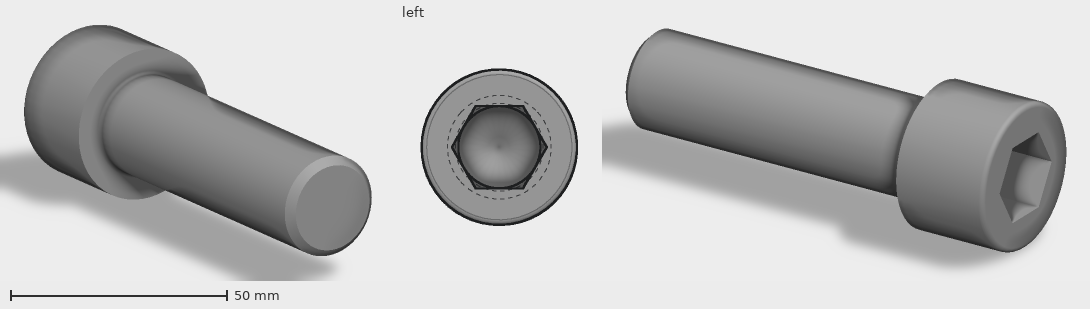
import cadquery as cq
import math

thread_diameter = 24.0
shank_length = 80.0
head_height = thread_diameter
head_diameter = 1.5 * thread_diameter
head_edge_radius = 1.2
neck_radius = 0.8
tip_chamfer = 1.84

hex_across_flats = 19.0
hex_depth = 12.0
cone_tip_angle = 120.0

head_face_x = -head_height


def make_cylinder(start_x, diameter, length):
    return cq.Workplane("YZ", origin=(start_x, 0, 0)).circle(diameter / 2).extrude(length)


def make_head():
    head = make_cylinder(head_face_x, head_diameter, head_height)
    return head.faces("<X").edges().fillet(head_edge_radius)


def make_shank():
    shank = make_cylinder(0, thread_diameter, shank_length)
    return shank.faces(">X").edges().chamfer(tip_chamfer)


def make_neck_fillet():
    """Ring with a concave quarter-round profile around the shank at the bearing face."""
    shank_radius = thread_diameter / 2
    outer_radius = shank_radius + neck_radius
    arc_offset = neck_radius * (1 - math.sqrt(0.5))
    profile = (
        cq.Workplane("XY")
        .lineTo(0, outer_radius)
        .threePointArc((arc_offset, shank_radius + arc_offset), (neck_radius, shank_radius))
        .lineTo(neck_radius, 0)
        .close()
    )
    return profile.revolve(360, (0, 0, 0), (1, 0, 0))


def make_socket():
    """Hexagonal socket, corners on the Y axis, with a conical bottom."""
    across_corners = hex_across_flats / math.cos(math.radians(30))
    hexagon = (
        cq.Workplane("YZ", origin=(head_face_x, 0, 0))
        .polygon(6, across_corners)
        .extrude(hex_depth)
    )
    cone_radius = hex_across_flats / 2
    cone_depth = cone_radius / math.tan(math.radians(cone_tip_angle / 2))
    cone = cq.Solid.makeCone(
        cone_radius,
        0,
        cone_depth,
        pnt=cq.Vector(head_face_x + hex_depth, 0, 0),
        dir=cq.Vector(1, 0, 0),
    )
    return hexagon.union(cq.Workplane(obj=cone))


result = make_head().union(make_shank()).union(make_neck_fillet()).cut(make_socket())